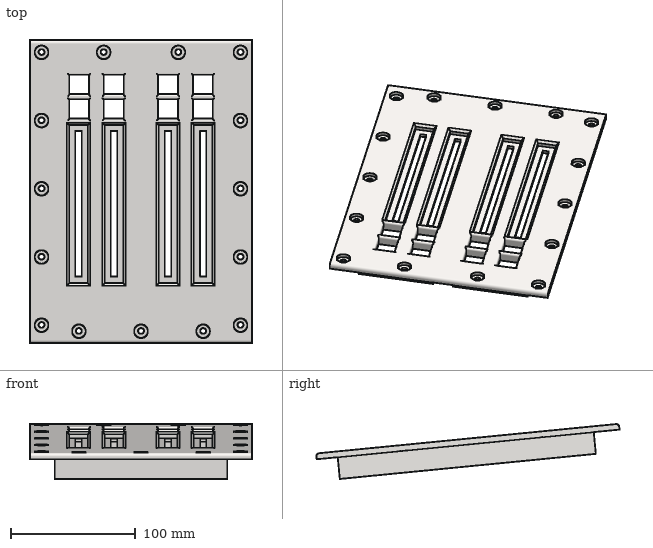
import cadquery as cq
TILT_ANGLE = 5.6

PLATE_WIDTH = 178.5
PLATE_LENGTH = 244.5
PLATE_THICKNESS = 4.9
END_FILLET = 2.7

HOUSING_WIDTH = 138.5
HOUSING_LENGTH = 206.8
HOUSING_HEIGHT = 17.5
HOUSING_CENTRE_Y = -2.0
HOUSING_SIDE_WALL = 3.0
HOUSING_END_WALL = 4.6
CABLE_NOTCH_WIDTH = 16.0
ROOF_THICKNESS = 2.7
ROOF_BOTTOM = PLATE_THICKNESS + ROOF_THICKNESS

SCREW_HOLE_DIAMETER = 4.6
COUNTERBORE_DIAMETER = 11.0
COUNTERBORE_DEPTH = 3.0
SIDE_HOLE_X = 80.0
SIDE_HOLE_COUNT = 5
SIDE_HOLE_PITCH = 55.0
END_HOLE_Y = 112.5
REAR_HOLE_X = 30.0
FRONT_HOLE_X = 50.0

FADER_XS = (-50.2, -21.7, 21.7, 50.0)
FADER_CENTRE_Y = -10.0
RECESS_WIDTH = 14.9
RECESS_LENGTH = 127.6
RECESS_CHAMFER = 2.0
SLOT_WIDTH = 4.9
SLOT_LENGTH = 117.5

WINDOW_XS = (-49.7, -22.0, 21.7, 49.7)
WINDOW_SIZE = 15.8
WINDOW_FILLET = 1.5
WINDOW_PITCH = 19.7
WINDOW_PAIR_CENTRE_Y = 76.5
WINDOW_YS = [WINDOW_PAIR_CENTRE_Y + side * WINDOW_PITCH / 2 for side in (-1, 1)]

SELECTION_MARGIN = 0.2


def rectangular_cutter(x, y, width, length, depth):
    return cq.Workplane("XY", origin=(x, y, 0)).rect(width, length).extrude(-depth)


def rim_edges(body, x, y, width, length):
    """Select the four top edges of a rectangular opening."""
    reach_x = width / 2 + SELECTION_MARGIN
    reach_y = length / 2 + SELECTION_MARGIN
    rim = cq.selectors.BoxSelector(
        (x - reach_x, y - reach_y, -SELECTION_MARGIN), (x + reach_x, y + reach_y, SELECTION_MARGIN)
    )
    return body.edges(rim)


def cut_fader(body, x, y):
    body = body.cut(rectangular_cutter(x, y, RECESS_WIDTH, RECESS_LENGTH, PLATE_THICKNESS))
    body = rim_edges(body, x, y, RECESS_WIDTH, RECESS_LENGTH).chamfer(RECESS_CHAMFER)
    return body.cut(rectangular_cutter(x, y, SLOT_WIDTH, SLOT_LENGTH, ROOF_BOTTOM))


def cut_window(body, x, y):
    body = body.cut(rectangular_cutter(x, y, WINDOW_SIZE, WINDOW_SIZE, ROOF_BOTTOM))
    return rim_edges(body, x, y, WINDOW_SIZE, WINDOW_SIZE).fillet(WINDOW_FILLET)


def make_plate():
    plate = cq.Workplane("XY").rect(PLATE_WIDTH, PLATE_LENGTH).extrude(-PLATE_THICKNESS)
    return plate.faces(">Z").edges("|X").fillet(END_FILLET)


def make_housing():
    housing = (
        cq.Workplane("XY", origin=(0, HOUSING_CENTRE_Y, -PLATE_THICKNESS))
        .rect(HOUSING_WIDTH, HOUSING_LENGTH)
        .extrude(-HOUSING_HEIGHT)
    )
    cavity_width = HOUSING_WIDTH - 2 * HOUSING_SIDE_WALL
    cavity_length = HOUSING_LENGTH - 2 * HOUSING_END_WALL
    below_roof = cq.Workplane("XY", origin=(0, HOUSING_CENTRE_Y, -ROOF_BOTTOM))
    cavity = below_roof.rect(cavity_width, cavity_length).extrude(-HOUSING_HEIGHT)
    cable_notch = (
        below_roof.center(0, HOUSING_LENGTH / 2)
        .rect(CABLE_NOTCH_WIDTH, 2 * HOUSING_END_WALL)
        .extrude(-HOUSING_HEIGHT)
    )
    return housing.cut(cavity).cut(cable_notch)


def screw_hole_points():
    points = []
    for row in range(SIDE_HOLE_COUNT):
        y = END_HOLE_Y - row * SIDE_HOLE_PITCH
        points += [(-SIDE_HOLE_X, y), (SIDE_HOLE_X, y)]
    points += [(x, END_HOLE_Y) for x in (-REAR_HOLE_X, REAR_HOLE_X)]
    points += [(x, -END_HOLE_Y) for x in (-FRONT_HOLE_X, 0, FRONT_HOLE_X)]
    return points


def make_screw_holes():
    holes = cq.Workplane("XY").pushPoints(screw_hole_points())
    bores = holes.circle(SCREW_HOLE_DIAMETER / 2).extrude(-PLATE_THICKNESS)
    heads = holes.circle(COUNTERBORE_DIAMETER / 2).extrude(-COUNTERBORE_DEPTH)
    return bores.union(heads)


panel = make_plate().union(make_housing()).cut(make_screw_holes())

for fader_x in FADER_XS:
    panel = cut_fader(panel, fader_x, FADER_CENTRE_Y)

for window_x in WINDOW_XS:
    for window_y in WINDOW_YS:
        panel = cut_window(panel, window_x, window_y)

result = panel.rotate((0, 0, 0), (1, 0, 0), TILT_ANGLE)